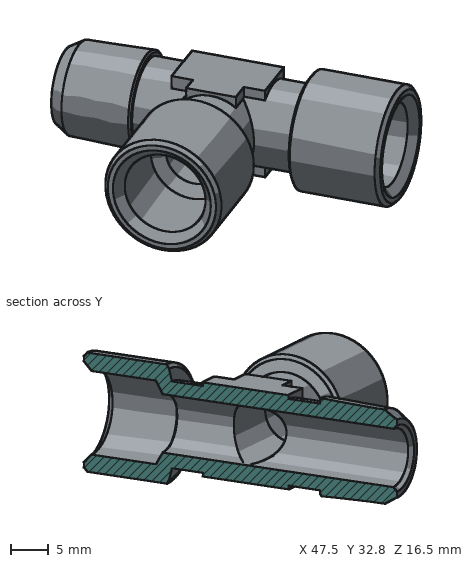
import cadquery as cq
import math

total_length = 47.5
socket_reach = 24.5
spigot_reach = total_length - socket_reach

tube_diameter = 12.0
bore_diameter = 8.0

socket_diameter = 16.5
socket_length = 13.4
socket_mouth_chamfer = 0.55
socket_shoulder_length = 0.45
socket_back_chamfer_length = 0.4
socket_back_chamfer_height = 0.55
thread_diameter = 11.45
thread_depth = 10.92
drill_point_angle = 118.0
countersink_diameter = 13.85
countersink_depth = (countersink_diameter - thread_diameter) / 2

spigot_length = 11.75
spigot_tip_diameter = 10.75
spigot_nose_length = 1.9
spigot_small_diameter = 13.0
spigot_large_diameter = 13.6
spigot_back_chamfer = 0.3
spigot_bore_chamfer = 0.55

block_width = 13.0
block_height = 13.0
block_rear_y = 3.8
block_left_front_y = -3.8
block_right_front_y = -3.25
tongue_width = 7.05
tongue_front_y = -6.2


def revolve_about_x(points):
    """Turn an (axial, radial) profile around the X axis."""
    return cq.Workplane("XY").polyline(points).close().revolve(360, (0, 0, 0), (1, 0, 0))


def socket_arm():
    """Tube and socket running from the origin toward +X."""
    tube_radius = tube_diameter / 2
    outer_radius = socket_diameter / 2
    back = socket_reach - socket_length
    shoulder_end = back + socket_shoulder_length
    return revolve_about_x([
        (0, 0),
        (0, tube_radius),
        (back, tube_radius),
        (shoulder_end, outer_radius - socket_back_chamfer_height),
        (shoulder_end + socket_back_chamfer_length, outer_radius),
        (socket_reach - socket_mouth_chamfer, outer_radius),
        (socket_reach, outer_radius - socket_mouth_chamfer),
        (socket_reach, 0),
    ])


def socket_cavity():
    """Bore, thread hole with a drill-point floor, and countersink opening toward +X."""
    bore_radius = bore_diameter / 2
    thread_radius = thread_diameter / 2
    thread_end = socket_reach - thread_depth
    floor_drop = (thread_radius - bore_radius) / math.tan(math.radians(drill_point_angle / 2))
    return revolve_about_x([
        (0, 0),
        (0, bore_radius),
        (thread_end - floor_drop, bore_radius),
        (thread_end, thread_radius),
        (socket_reach - countersink_depth, thread_radius),
        (socket_reach, countersink_diameter / 2),
        (socket_reach, 0),
    ])


def spigot_arm():
    """Tube and tapered spigot running from the origin toward -X."""
    tube_radius = tube_diameter / 2
    large_radius = spigot_large_diameter / 2
    tip = -spigot_reach
    back = tip + spigot_length
    return revolve_about_x([
        (0, 0),
        (0, tube_radius),
        (back, tube_radius),
        (back, large_radius - spigot_back_chamfer),
        (back - spigot_back_chamfer, large_radius),
        (tip + spigot_nose_length, spigot_small_diameter / 2),
        (tip, spigot_tip_diameter / 2),
        (tip, 0),
    ])


def spigot_cavity():
    """Bore with a chamfered mouth opening toward -X."""
    bore_radius = bore_diameter / 2
    tip = -spigot_reach
    return revolve_about_x([
        (0, 0),
        (0, bore_radius),
        (tip + spigot_bore_chamfer, bore_radius),
        (tip, bore_radius + spigot_bore_chamfer),
        (tip, 0),
    ])


def wrench_block():
    """T-shaped block whose corners stand proud of the tubes."""
    half_width = block_width / 2
    half_tongue = tongue_width / 2
    outline = [
        (-half_width, block_rear_y),
        (half_width, block_rear_y),
        (half_width, block_right_front_y),
        (half_tongue, block_right_front_y),
        (half_tongue, tongue_front_y),
        (-half_tongue, tongue_front_y),
        (-half_tongue, block_left_front_y),
        (-half_width, block_left_front_y),
    ]
    return cq.Workplane("XY").polyline(outline).close().extrude(block_height / 2, both=True)


def toward_branch(shape):
    """Swing a +X arm round to point toward -Y."""
    return shape.rotate((0, 0, 0), (0, 0, 1), -90)


body = spigot_arm().union(socket_arm())
body = body.union(toward_branch(socket_arm()))
body = body.union(wrench_block())

result = body.cut(spigot_cavity()).cut(socket_cavity()).cut(toward_branch(socket_cavity()))